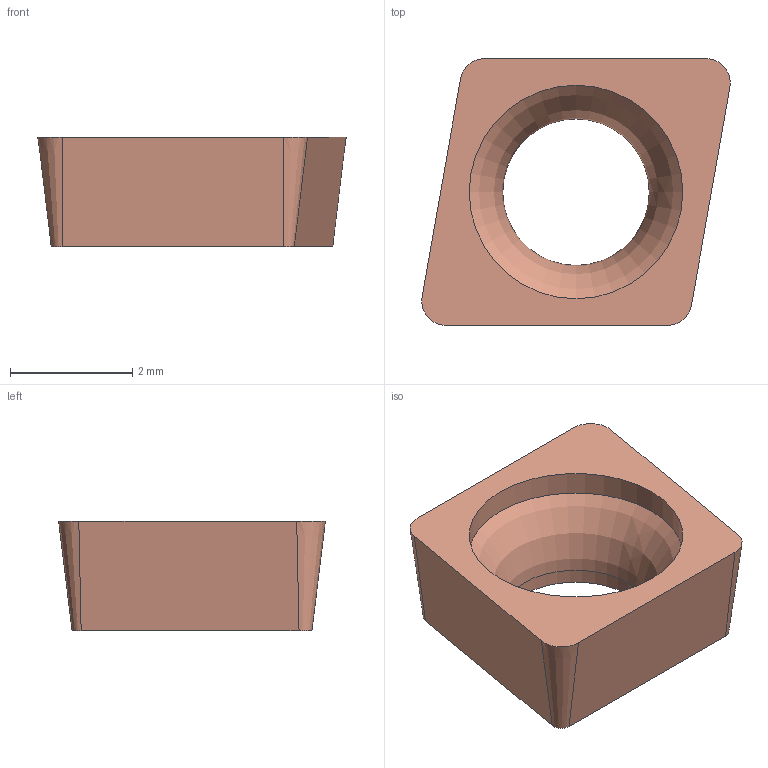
import cadquery as cq
import math

inscribed_circle = 4.37
corner_angle = 80.0
nose_radius = 0.4
clearance_angle = 7.0
thickness = 1.79

mouth_diameter = 3.5
mouth_depth = 0.39
bore_diameter = 2.4
seat_radius = 1.5


def insert_body():
    """Rhombic block with conical corners, tapering towards the bottom."""
    half_height = inscribed_circle / 2
    half_side = half_height / math.sin(math.radians(corner_angle))
    corner_shift = half_height / math.tan(math.radians(corner_angle))
    outline = [
        (-half_side - corner_shift, -half_height),
        (half_side - corner_shift, -half_height),
        (half_side + corner_shift, half_height),
        (-half_side + corner_shift, half_height),
    ]
    top_outline = cq.Sketch().polygon(outline + outline[:1]).vertices().fillet(nose_radius)
    return (
        cq.Workplane("XY", origin=(0, 0, thickness))
        .placeSketch(top_outline)
        .extrude(-thickness, taper=clearance_angle)
    )


def screw_hole():
    """Solid of revolution that removes the mouth, the seat and the bore."""
    mouth_radius = mouth_diameter / 2
    bore_radius = bore_diameter / 2
    seat_centre_radius = bore_radius + seat_radius
    seat_height = math.sqrt(seat_radius**2 - (seat_centre_radius - mouth_radius) ** 2)
    seat_top = thickness - mouth_depth
    seat_bottom = seat_top - seat_height

    half_sweep = math.asin(seat_height / seat_radius) / 2
    seat_middle = (
        seat_centre_radius - seat_radius * math.cos(half_sweep),
        seat_bottom + seat_radius * math.sin(half_sweep),
    )
    return (
        cq.Workplane("XZ")
        .lineTo(bore_radius, 0)
        .lineTo(bore_radius, seat_bottom)
        .threePointArc(seat_middle, (mouth_radius, seat_top))
        .lineTo(mouth_radius, thickness)
        .lineTo(0, thickness)
        .close()
        .revolve(360, (0, 0), (0, 1))
    )


result = insert_body().cut(screw_hole())